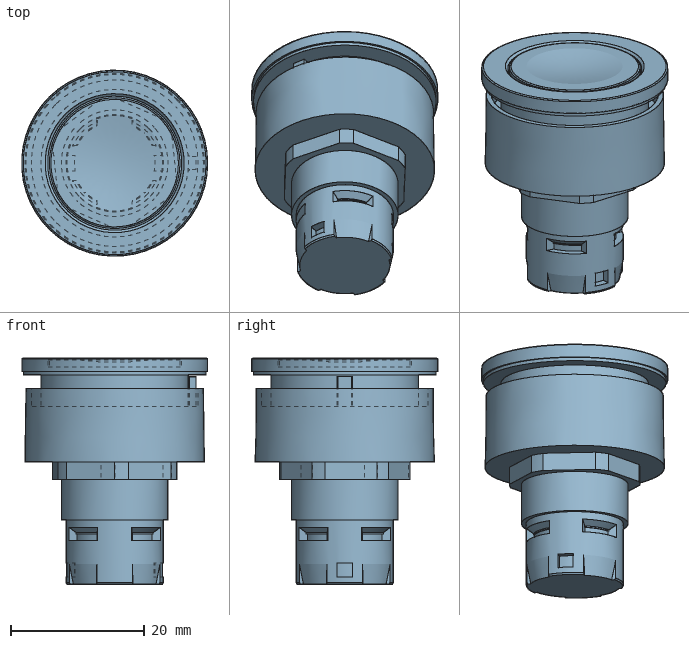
import cadquery as cq
import math

height = 33.95
flange_bottom_z = 31.9
lip_bottom_z = 31.4
body_top_z = 29.4
body_bottom_z = 18.35
nut_bottom_z = 15.72
collar_bottom_z = 9.68

flange_diameter = 27.9
lip_diameter = 27.4
neck_diameter = 22.15
body_top_diameter = 26.6
body_bottom_diameter = 26.92
nut_corner_diameter = 19.6
collar_diameter = 16.0
barrel_diameter = 14.6
barrel_core_diameter = 12.1

edge_chamfer_width = 0.25
edge_chamfer_depth = 0.15
barrel_chamfer_depth = 0.27
barrel_chamfer_width = 0.15

nut_across_flats = 17.93
nut_turn = 6.0

well_diameter = 25.0
well_depth = 2.7

groove_mouth_diameter = 20.85
groove_diameter = 20.1
groove_taper_depth = 0.35
groove_depth = 1.35
button_diameter = 19.6
dish_diameter = 14.4
dish_depth = 0.65

tab_top_z = 31.15
tab_reach = 12.22
tab_root_x = 11.25
tab_half_width = 1.0
tab_root_flare = 0.2

diagonal_angles = [45, 135, 225, 315]
slot_bottom_z = 6.6
slot_top_z = 8.55
slot_roof_drop = 0.78
slot_ledge_drop = 0.2
slot_ledge_width = 0.15
slot_floor_diameter = 12.43
slot_width = 6.08
relief_top_z = 3.0
relief_width = 5.8
relief_bottom_diameter = 13.5
side_wall_angle = 50.0

window_width = 2.3
window_bottom_z = 1.12
window_top_z = 3.2

cut_margin = 0.68


def disc(diameter, bottom_z, top_z):
    return cq.Workplane("XY").workplane(offset=bottom_z).circle(diameter / 2).extrude(top_z - bottom_z)


def revolved(points):
    """Turn a closed (radius, z) outline around the Z axis."""
    return cq.Workplane("XZ").polyline(points).close().revolve(360, (0, 0), (0, 1))


def make_turned_body():
    barrel_radius = barrel_diameter / 2
    well_floor_z = body_top_z - well_depth
    return revolved([
        (0, 0),
        (barrel_radius - barrel_chamfer_width, 0),
        (barrel_radius, barrel_chamfer_depth),
        (barrel_radius, collar_bottom_z),
        (collar_diameter / 2, collar_bottom_z),
        (collar_diameter / 2, body_bottom_z),
        (body_bottom_diameter / 2, body_bottom_z),
        (body_top_diameter / 2, body_top_z),
        (well_diameter / 2, body_top_z),
        (well_diameter / 2, well_floor_z),
        (neck_diameter / 2, well_floor_z),
        (neck_diameter / 2, lip_bottom_z),
        (lip_diameter / 2, lip_bottom_z),
        (lip_diameter / 2, flange_bottom_z),
        (flange_diameter / 2, flange_bottom_z),
        (flange_diameter / 2, height - edge_chamfer_depth),
        (flange_diameter / 2 - edge_chamfer_width, height),
        (0, height),
    ])


def make_nut():
    across_corners = nut_across_flats / math.cos(math.radians(30))
    nut_height = body_bottom_z - nut_bottom_z
    hexagon = (
        cq.Workplane("XY")
        .workplane(offset=nut_bottom_z)
        .transformed(rotate=(0, 0, nut_turn + 30))
        .polygon(6, across_corners)
        .extrude(nut_height)
    )
    return hexagon.intersect(disc(nut_corner_diameter, nut_bottom_z, body_bottom_z))


def make_tab():
    tab_bottom_z = body_top_z - well_depth
    flare_x = tab_root_x - tab_root_flare
    flare_y = tab_half_width + tab_root_flare
    inside_x = flare_x - cut_margin
    return (
        cq.Workplane("XY")
        .workplane(offset=tab_bottom_z)
        .polyline([
            (inside_x, -flare_y),
            (flare_x, -flare_y),
            (tab_root_x, -tab_half_width),
            (tab_reach, -tab_half_width),
            (tab_reach, tab_half_width),
            (tab_root_x, tab_half_width),
            (flare_x, flare_y),
            (inside_x, flare_y),
        ])
        .close()
        .extrude(tab_top_z - tab_bottom_z)
    )


def make_groove():
    groove_floor_z = height - groove_depth
    return revolved([
        (button_diameter / 2, groove_floor_z),
        (groove_diameter / 2, groove_floor_z),
        (groove_diameter / 2, height - groove_taper_depth),
        (groove_mouth_diameter / 2, height),
        (button_diameter / 2 - edge_chamfer_width, height),
        (button_diameter / 2, height - edge_chamfer_depth),
    ])


def make_dish():
    """Spherical hollow in the top of the button."""
    rim_radius = dish_diameter / 2
    sphere_radius = (rim_radius ** 2 + dish_depth ** 2) / (2 * dish_depth)
    return cq.Workplane("XY").sphere(sphere_radius).translate((0, 0, height - dish_depth + sphere_radius))


def make_side_walls(width, top_z):
    """Wedge along +X, `width` wide where it meets the barrel surface and narrowing inwards."""
    slope = math.tan(math.radians(side_wall_angle))
    surface_x = math.sqrt((barrel_diameter / 2) ** 2 - (width / 2) ** 2)
    apex_x = surface_x - width / 2 / slope
    outer_x = barrel_diameter / 2 + cut_margin
    outer_half_width = (outer_x - apex_x) * slope
    return (
        cq.Workplane("XY")
        .polyline([(apex_x, 0), (outer_x, -outer_half_width), (outer_x, outer_half_width)])
        .close()
        .extrude(top_z)
    )


def make_slot():
    """Bayonet slot with a conical roof that drops inwards and ends in a small ledge."""
    floor_radius = slot_floor_diameter / 2
    ledge_radius = floor_radius + slot_ledge_width
    roof_end_z = slot_top_z - slot_roof_drop
    surface_radius = barrel_diameter / 2
    outer_radius = surface_radius + cut_margin
    ring = revolved([
        (floor_radius, slot_bottom_z),
        (outer_radius, slot_bottom_z),
        (outer_radius, slot_top_z),
        (surface_radius, slot_top_z),
        (ledge_radius, roof_end_z),
        (ledge_radius, roof_end_z - slot_ledge_drop),
        (floor_radius, roof_end_z - slot_ledge_drop),
    ])
    return ring.intersect(make_side_walls(slot_width, slot_top_z))


def make_relief():
    """Tapered relief that runs out through the bottom end of the barrel."""
    surface_radius = barrel_diameter / 2
    outer_radius = surface_radius + cut_margin
    ring = revolved([
        (relief_bottom_diameter / 2, 0),
        (outer_radius, 0),
        (outer_radius, relief_top_z),
        (surface_radius, relief_top_z),
    ])
    return ring.intersect(make_side_walls(relief_width, relief_top_z))


def make_windows():
    window_height = window_top_z - window_bottom_z
    bar = (
        cq.Workplane("XY")
        .box(barrel_diameter + cut_margin, window_width, window_height, centered=(True, True, False))
        .translate((0, 0, window_bottom_z))
    )
    return bar.cut(disc(barrel_core_diameter, window_bottom_z, window_top_z))


result = make_turned_body().union(make_nut()).union(make_tab())
result = result.cut(make_groove()).cut(make_dish()).cut(make_windows())

slot = make_slot()
relief = make_relief()
for angle in diagonal_angles:
    for cutter in (slot, relief):
        result = result.cut(cutter.rotate((0, 0, 0), (0, 0, 1), angle))